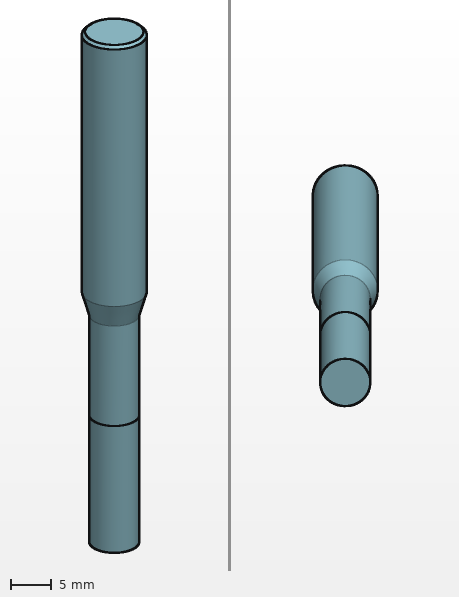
import cadquery as cq

total_length = 70.0
shank_radius = 4.0
neck_radius = 3.1
tip_length = 17.4
neck_top = 31.15
taper_top = 34.3
top_chamfer = 0.4


def make_holder():
    """Neck, conical transition and chamfered shank as one turned body."""
    profile = [
        (0, tip_length),
        (neck_radius, tip_length),
        (neck_radius, neck_top),
        (shank_radius, taper_top),
        (shank_radius, total_length - top_chamfer),
        (shank_radius - top_chamfer, total_length),
        (0, total_length),
    ]
    return cq.Workplane("XZ").polyline(profile).close().revolve(360, (0, 0, 0), (0, 1, 0))


def make_tip():
    """Plain cylindrical tip that butts against the lower end of the neck."""
    return cq.Workplane("XY").circle(neck_radius).extrude(tip_length)


holder = make_holder()
tip = make_tip()

result = cq.Compound.makeCompound([holder.val(), tip.val()])